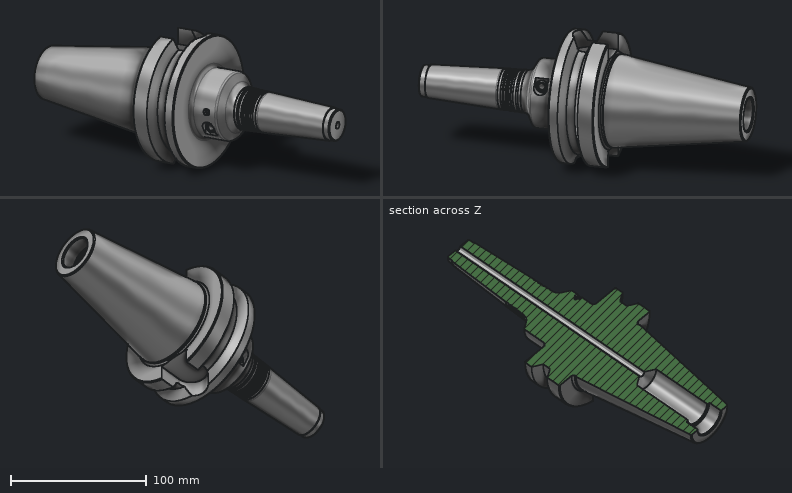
import cadquery as cq
import math

LENGTH = 251.8

TAPER_SLOPE = 7 / 24 / 2
GAUGE_X = 101.7
GAUGE_RADIUS = 35.0
TAPER_RADIUS = GAUGE_RADIUS - GAUGE_X * TAPER_SLOPE
TAPER_CHAMFER = 0.8

UNDERCUT_RADIUS = 69.0 / 2
UNDERCUT_BEVEL_LENGTH = 1.0
UNDERCUT_BEVEL_HEIGHT = 2.0

FLANGE_START = 104.7
FLANGE_END = 139.7
FLANGE_RADIUS = 100.0 / 2
FLANGE_CHAMFER = 0.8
GROOVE_RADIUS = 42.3
GROOVE_CENTER = 124.6
GROOVE_FLOOR = 6.5
GROOVE_HALF_ANGLE = math.radians(30)
GROOVE_SIDE = (FLANGE_RADIUS - GROOVE_RADIUS) * math.tan(GROOVE_HALF_ANGLE)

SLOT_WIDTH = 25.7
SLOT_END = 135.5
SLOT_FLOOR = 35.5

COLLAR_RADIUS = 52.5 / 2
COLLAR_FILLET = 2.8
COLLAR_END = 161.0
SHOULDER_ANGLE = math.radians(60)
SHOULDER_ROUND = 1.8

NECK_START = 171.5
NECK_RADIUS = 16.0
RING_ZONE_END = 191.0
RING_ZONE_END_RADIUS = 15.4
NECK_END = 246.5
NECK_END_RADIUS = 12.5
TIP_RADIUS = 24.0 / 2
TIP_CHAMFER = 0.8

SHOULDER_SPAN = NECK_START - COLLAR_END
SHOULDER_DROP = COLLAR_RADIUS - NECK_RADIUS
NECK_FILLET = (
    (SHOULDER_SPAN - SHOULDER_DROP / math.tan(SHOULDER_ANGLE)) / math.tan(SHOULDER_ANGLE / 2)
    - SHOULDER_ROUND
)

RING_WIDTH = 2.3
RING_PITCH = 3.8
RING_DEPTH = 0.3
FIRST_ROW_COUNT = 4
SECOND_ROW_SHIFT = 0.8
ROWS_OFFSET = 2
SECOND_ROW_START = NECK_START + ROWS_OFFSET * RING_PITCH + SECOND_ROW_SHIFT
SECOND_ROW_COUNT = 3
OVERLAP_WIDTH = RING_WIDTH - SECOND_ROW_SHIFT
OVERLAP_COUNT = FIRST_ROW_COUNT - ROWS_OFFSET

MOUTH_RADIUS = 13.3
COUNTERBORE_RADIUS = 25.0 / 2
COUNTERBORE_DEPTH = 11.5
BORE_RADIUS = 21.0 / 2
BORE_CHAMFER = 0.8
BORE_DEPTH = 63.0
COOLANT_RADIUS = 5.0 / 2
DRILL_HALF_ANGLE = math.radians(59)

SCREW_X = 153.8
SCREW_Z = -12.3
POCKET_WIDTH = 10.0
POCKET_FLOOR = 18.6
SCREW_BASE_RADIUS = 9.0 / 2
SCREW_TOP_RADIUS = 6.8 / 2
SCREW_HEIGHT = 1.0
SOCKET_RADIUS = 5.0 / 2
SOCKET_DEPTH = SCREW_HEIGHT
SET_HOLE_Z = 1.0
SET_HOLE_RADIUS = 5.0 / 2
SET_HOLE_DEPTH = 2.5
SET_SOCKET_DEPTH = 2.5
SET_SOCKET_RADIUS = 2.32 / 2


def revolve_about_x(profile):
    """Revolve an XY profile a full turn around the X axis."""
    return profile.revolve(360, (0, 0, 0), (1, 0, 0))


def neck_radius(x):
    """Radius of the ringed part of the neck at station x."""
    slope = (NECK_RADIUS - RING_ZONE_END_RADIUS) / (RING_ZONE_END - NECK_START)
    return NECK_RADIUS - slope * (x - NECK_START)


def point_on_circle(center, radius, angle):
    """Point on a circle at the given angle."""
    return center[0] + radius * math.cos(angle), center[1] + radius * math.sin(angle)


def make_body():
    """Revolved outline from the taper end to the tip."""
    groove_left = GROOVE_CENTER - GROOVE_FLOOR / 2
    groove_right = GROOVE_CENTER + GROOVE_FLOOR / 2
    undercut_start = GAUGE_X + (GAUGE_RADIUS - UNDERCUT_RADIUS)

    collar_center = (FLANGE_END + COLLAR_FILLET, COLLAR_RADIUS + COLLAR_FILLET)
    shoulder_center = (COLLAR_END, COLLAR_RADIUS - SHOULDER_ROUND)
    neck_center = (NECK_START, NECK_RADIUS + NECK_FILLET)
    quarter_mid = math.radians(225)
    up = math.pi / 2

    profile = (
        cq.Workplane("XY")
        .moveTo(0, 0)
        .lineTo(0, TAPER_RADIUS - TAPER_CHAMFER)
        .lineTo(TAPER_CHAMFER, TAPER_RADIUS + TAPER_CHAMFER * TAPER_SLOPE)
        .lineTo(GAUGE_X, GAUGE_RADIUS)
        .lineTo(undercut_start, UNDERCUT_RADIUS)
        .lineTo(FLANGE_START - UNDERCUT_BEVEL_LENGTH, UNDERCUT_RADIUS)
        .lineTo(FLANGE_START, UNDERCUT_RADIUS + UNDERCUT_BEVEL_HEIGHT)
        .lineTo(FLANGE_START, FLANGE_RADIUS - FLANGE_CHAMFER)
        .lineTo(FLANGE_START + FLANGE_CHAMFER, FLANGE_RADIUS)
        .lineTo(groove_left - GROOVE_SIDE, FLANGE_RADIUS)
        .lineTo(groove_left, GROOVE_RADIUS)
        .lineTo(groove_right, GROOVE_RADIUS)
        .lineTo(groove_right + GROOVE_SIDE, FLANGE_RADIUS)
        .lineTo(FLANGE_END - FLANGE_CHAMFER, FLANGE_RADIUS)
        .lineTo(FLANGE_END, FLANGE_RADIUS - FLANGE_CHAMFER)
        .lineTo(FLANGE_END, collar_center[1])
        .threePointArc(
            point_on_circle(collar_center, COLLAR_FILLET, quarter_mid),
            (collar_center[0], COLLAR_RADIUS),
        )
        .lineTo(COLLAR_END, COLLAR_RADIUS)
        .threePointArc(
            point_on_circle(shoulder_center, SHOULDER_ROUND, up - SHOULDER_ANGLE / 2),
            point_on_circle(shoulder_center, SHOULDER_ROUND, up - SHOULDER_ANGLE),
        )
        .lineTo(*point_on_circle(neck_center, NECK_FILLET, -up - SHOULDER_ANGLE))
        .threePointArc(
            point_on_circle(neck_center, NECK_FILLET, -up - SHOULDER_ANGLE / 2),
            (NECK_START, NECK_RADIUS),
        )
        .lineTo(RING_ZONE_END, RING_ZONE_END_RADIUS)
        .lineTo(NECK_END, NECK_END_RADIUS)
        .lineTo(NECK_END, TIP_RADIUS)
        .lineTo(LENGTH - TIP_CHAMFER, TIP_RADIUS)
        .lineTo(LENGTH, TIP_RADIUS - TIP_CHAMFER)
        .lineTo(LENGTH, 0)
        .close()
    )
    return revolve_about_x(profile)


def make_bore():
    """Counterbored bore with a drill-point end, and the coolant hole through to the tip."""
    point_length = (BORE_RADIUS - COOLANT_RADIUS) / math.tan(DRILL_HALF_ANGLE)
    profile = (
        cq.Workplane("XY")
        .moveTo(0, 0)
        .lineTo(0, MOUTH_RADIUS)
        .lineTo(MOUTH_RADIUS - COUNTERBORE_RADIUS, COUNTERBORE_RADIUS)
        .lineTo(COUNTERBORE_DEPTH, COUNTERBORE_RADIUS)
        .lineTo(COUNTERBORE_DEPTH, BORE_RADIUS + BORE_CHAMFER)
        .lineTo(COUNTERBORE_DEPTH + BORE_CHAMFER, BORE_RADIUS)
        .lineTo(BORE_DEPTH, BORE_RADIUS)
        .lineTo(BORE_DEPTH + point_length, COOLANT_RADIUS)
        .lineTo(LENGTH, COOLANT_RADIUS)
        .lineTo(LENGTH, 0)
        .close()
    )
    return revolve_about_x(profile)


def make_drive_slot():
    """Cutter for the top drive slot: open toward the taper, round toward the tip."""
    round_center = SLOT_END - SLOT_WIDTH / 2
    return (
        cq.Workplane("XY", origin=(0, 0, SLOT_FLOOR))
        .moveTo(GAUGE_X, -SLOT_WIDTH / 2)
        .lineTo(round_center, -SLOT_WIDTH / 2)
        .threePointArc((SLOT_END, 0), (round_center, SLOT_WIDTH / 2))
        .lineTo(GAUGE_X, SLOT_WIDTH / 2)
        .close()
        .extrude(FLANGE_RADIUS)
    )


def make_ring(start, width, depth):
    """Cutter for one ring groove of constant depth below the neck surface."""
    end = start + width
    profile = cq.Workplane("XY").polyline([
        (start, neck_radius(start) - depth),
        (end, neck_radius(end) - depth),
        (end, COLLAR_RADIUS),
        (start, COLLAR_RADIUS),
    ]).close()
    return revolve_about_x(profile)


def facing_front(y, z):
    """Workplane at the screw station whose normal points to -Y."""
    return cq.Workplane("XZ", origin=(SCREW_X, y, z))


def make_screw_pocket():
    """Cutter for a screw pocket: rounded around the screw, open toward -Z."""
    plane = facing_front(-POCKET_FLOOR, SCREW_Z)
    round_part = plane.circle(POCKET_WIDTH / 2).extrude(COLLAR_RADIUS)
    open_plane = plane.center(0, -COLLAR_RADIUS / 2)
    open_part = open_plane.rect(POCKET_WIDTH, COLLAR_RADIUS).extrude(COLLAR_RADIUS)
    return round_part.union(open_part)


def make_screw_head():
    """Bevelled screw head standing on the pocket floor, with a conical socket."""
    outward = cq.Vector(0, -1, 0)
    floor = cq.Vector(SCREW_X, -POCKET_FLOOR, SCREW_Z)
    top = floor + outward * SCREW_HEIGHT
    head = cq.Solid.makeCone(SCREW_BASE_RADIUS, SCREW_TOP_RADIUS, SCREW_HEIGHT, floor, outward)
    socket = cq.Solid.makeCone(SOCKET_RADIUS, 0, SOCKET_DEPTH, top, outward * -1)
    return cq.Workplane(head).cut(cq.Workplane(socket))


def make_set_screw_hole():
    """Cutter for the blind set screw hole and the narrower socket in its floor."""
    plane = facing_front(SET_HOLE_DEPTH - COLLAR_RADIUS, SET_HOLE_Z)
    hole = plane.circle(SET_HOLE_RADIUS).extrude(COLLAR_RADIUS)
    socket = plane.circle(SET_SOCKET_RADIUS).extrude(-SET_SOCKET_DEPTH)
    return hole.union(socket)


def half_turn(shape):
    """Copy of a shape turned half way round the X axis."""
    return shape.rotate((0, 0, 0), (1, 0, 0), 180)


result = make_body().cut(make_bore())

drive_slot = make_drive_slot()
result = result.cut(drive_slot).cut(half_turn(drive_slot))

for i in range(FIRST_ROW_COUNT):
    result = result.cut(make_ring(NECK_START + i * RING_PITCH, RING_WIDTH, RING_DEPTH))
for i in range(SECOND_ROW_COUNT):
    result = result.cut(make_ring(SECOND_ROW_START + i * RING_PITCH, RING_WIDTH, RING_DEPTH))
for i in range(OVERLAP_COUNT):
    result = result.cut(make_ring(SECOND_ROW_START + i * RING_PITCH, OVERLAP_WIDTH, 2 * RING_DEPTH))

pocket = make_screw_pocket()
screw_head = make_screw_head()
result = result.cut(pocket).cut(half_turn(pocket))
result = result.union(screw_head).union(half_turn(screw_head))

result = result.cut(make_set_screw_hole())